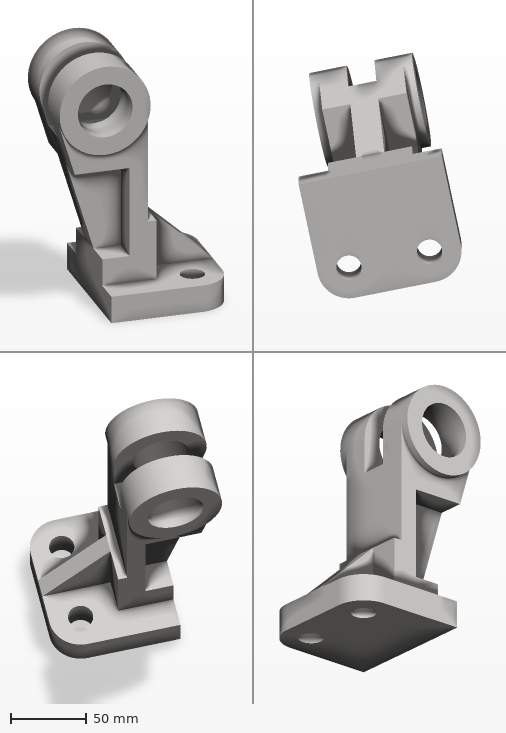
import cadquery as cq
import math

base_width = 97.16
base_depth = 84.39
base_thickness = 19.05
corner_radius = 21.17
bolt_hole_diameter = 16.8

barrel_radius = 31.75
bore_diameter = 38.1
barrel_span = 69.85
overall_height = 179.53
barrel_axis_z = overall_height - barrel_radius

column_width = 57.15
column_foot_z = 38.1
web_thickness = 19.05
pocket_back_y = 19.05
pocket_top_z = 101.6
fork_gap_depth = 25.0
fork_floor_z = barrel_axis_z - fork_gap_depth

step_depth = 37.8
step_top_z = 61.4
rib_thickness = 12.7


def side_profile(points, thickness):
    """Closed polygon of (y, z) points, extruded evenly about X = 0."""
    return cq.Workplane("YZ").polyline(points).close().extrude(thickness / 2, both=True)


def box(x_range, y_range, z_range):
    """Box spanning the given (low, high) ranges."""
    spans = [high - low for low, high in (x_range, y_range, z_range)]
    corner = (x_range[0], y_range[0], z_range[0])
    return cq.Workplane("XY").box(*spans, centered=False).translate(corner)


def make_base():
    plate = box((-base_width / 2, base_width / 2), (0, base_depth), (0, base_thickness))
    plate = plate.edges("|Z and >Y").fillet(corner_radius)
    hole_x = base_width / 2 - corner_radius
    hole_y = base_depth - corner_radius
    holes = (
        cq.Workplane("XY")
        .pushPoints([(-hole_x, hole_y), (hole_x, hole_y)])
        .circle(bolt_hole_diameter / 2)
        .extrude(base_thickness)
    )
    return plate.cut(holes)


def make_column():
    lean = math.asin(barrel_radius / (barrel_axis_z - column_foot_z))
    tangent_y = -barrel_radius * math.cos(lean)
    tangent_z = barrel_axis_z - barrel_radius * math.sin(lean)
    outline = [
        (0, base_thickness),
        (0, column_foot_z),
        (tangent_y, tangent_z),
        (0, barrel_axis_z),
        (barrel_radius, barrel_axis_z),
        (barrel_radius, step_top_z),
        (step_depth, step_top_z),
        (step_depth, base_thickness),
    ]
    return side_profile(outline, column_width)


def make_side_pocket(side):
    """Recess beside the central web, open to the front; side is -1 or +1."""
    x_range = sorted((side * web_thickness / 2, side * column_width / 2))
    return box(x_range, (-barrel_radius, pocket_back_y), (column_foot_z, pocket_top_z))


def make_rib():
    outline = [
        (step_depth, base_thickness),
        (base_depth, base_thickness),
        (step_depth, step_top_z),
    ]
    return side_profile(outline, rib_thickness)


def make_axis_cylinder(radius):
    """Cylinder on the barrel axis, as long as the whole fork."""
    axis_plane = cq.Plane(origin=(0, 0, barrel_axis_z), xDir=(0, 0, 1), normal=(1, 0, 0))
    return (
        cq.Workplane(axis_plane)
        .circle(radius)
        .extrude(barrel_span / 2, both=True)
    )


def make_fork_gap():
    """Slot between the two barrels, cut down to a flat floor."""
    return box(
        (-web_thickness / 2, web_thickness / 2),
        (-barrel_radius, barrel_radius),
        (fork_floor_z, overall_height),
    )


column = make_column()
for side in (-1, 1):
    column = column.cut(make_side_pocket(side))

result = make_base().union(column).union(make_rib()).union(make_axis_cylinder(barrel_radius))
result = result.cut(make_fork_gap()).cut(make_axis_cylinder(bore_diameter / 2))